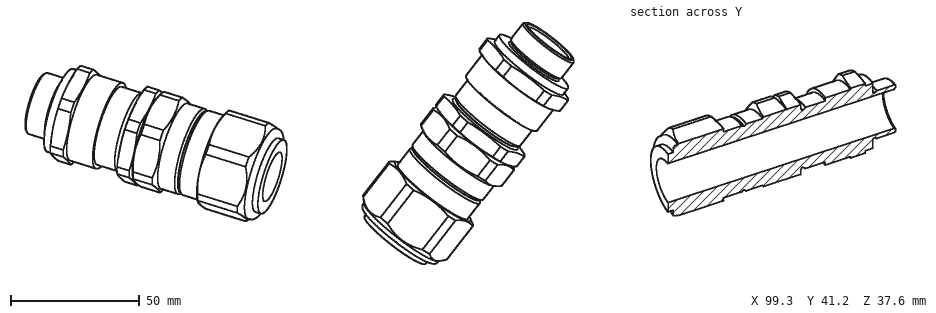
import cadquery as cq
import math


NECK_START = 8.4
FLANGE_START = 10.0
ENTRY_HEX_START = 13.1
ENTRY_HEX_END = 19.9
ENTRY_BODY_END = 30.8
STEM_END = 39.4
LOCK_CONE_START = 40.7
LOCK_HEX_START = 41.4
MIDDLE_HEX_START = 47.6
MIDDLE_HEX_END = 58.1
MIDDLE_BODY_END = 65.2
REAR_CONE_START = 66.2
REAR_BODY_START = 67.2
REAR_HEX_START = 75.0
REAR_HEX_END = 95.0
COLLAR_END = 97.0
LENGTH = 99.3

BORE_RADIUS = 10.0
THREAD_RADIUS = 12.5
FLANGE_RADIUS = 17.0
ENTRY_BODY_RADIUS = 17.6
STEM_RADIUS = 16.0
MIDDLE_BODY_RADIUS = 17.5
REAR_BODY_RADIUS = 17.3
COLLAR_RADIUS = 18.5
TIP_RADIUS = 15.1

MOUTH_CHAMFER = 0.8
THREAD_CHAMFER = 0.7
THREAD_GROOVE_DEPTH = 0.9
THREAD_GROOVE_LIP = 0.2
STEM_GROOVE_DEPTH = 1.2
MIDDLE_GROOVE_DEPTH = 1.1
REAR_CONE_DROP = 0.5
COLLAR_ROUND = 1.2

HEX_SIDES = 6
SMALL_APOTHEM = 18.2
SMALL_CORNER_RADIUS = 19.9
LARGE_APOTHEM = 18.8
LARGE_CORNER_RADIUS = 41.2 / 2
SMALL_FACE_RADIUS = 17.9
LARGE_FACE_RADIUS = 18.6

SHALLOW_ANGLE = 15
MEDIUM_ANGLE = 30
STEEP_ANGLE = 45


def revolve_profile(points):
    """Turn a list of (x, radius) points into a solid around the X axis."""
    outline = [(points[0][0], 0), *points, (points[-1][0], 0)]
    return cq.Workplane("XY").polyline(outline).close().revolve(360, (0, 0, 0), (1, 0, 0))


def hexagon(start, end, apothem, corner_radius, start_cone, end_cone):
    """Hexagon nut with flats facing +Z and -Z; each cone is (end face radius, angle)."""
    start_radius, start_angle = start_cone
    end_radius, end_angle = end_cone
    start_run = (corner_radius - start_radius) * math.tan(math.radians(start_angle))
    end_run = (corner_radius - end_radius) * math.tan(math.radians(end_angle))
    envelope = revolve_profile([
        (start, start_radius),
        (start + start_run, corner_radius),
        (end - end_run, corner_radius),
        (end, end_radius),
    ])
    across_corners = 2 * apothem / math.cos(math.pi / HEX_SIDES)
    prism = (
        cq.Workplane("YZ")
        .workplane(offset=start)
        .polygon(HEX_SIDES, across_corners)
        .extrude(end - start)
    )
    return envelope.intersect(prism)


def turned_body():
    """Thread, flange, stem and plain barrels, with the grooves between them."""
    thread_root = THREAD_RADIUS - THREAD_GROOVE_DEPTH
    stem_root = STEM_RADIUS - STEM_GROOVE_DEPTH
    middle_root = MIDDLE_BODY_RADIUS - MIDDLE_GROOVE_DEPTH
    return revolve_profile([
        (0, THREAD_RADIUS - THREAD_CHAMFER),
        (THREAD_CHAMFER, THREAD_RADIUS),
        (NECK_START, THREAD_RADIUS),
        (NECK_START + THREAD_GROOVE_DEPTH, thread_root),
        (FLANGE_START, THREAD_RADIUS - THREAD_GROOVE_LIP),
        (FLANGE_START, FLANGE_RADIUS),
        (ENTRY_HEX_END, FLANGE_RADIUS),
        (ENTRY_HEX_END, ENTRY_BODY_RADIUS),
        (ENTRY_BODY_END, ENTRY_BODY_RADIUS),
        (ENTRY_BODY_END, STEM_RADIUS),
        (STEM_END, STEM_RADIUS),
        (STEM_END + STEM_GROOVE_DEPTH, stem_root),
        (LOCK_CONE_START, stem_root),
        (LOCK_HEX_START, STEM_RADIUS),
        (MIDDLE_HEX_END, STEM_RADIUS),
        (MIDDLE_HEX_END, MIDDLE_BODY_RADIUS),
        (MIDDLE_BODY_END, MIDDLE_BODY_RADIUS),
        (REAR_CONE_START, middle_root),
        (REAR_CONE_START, REAR_BODY_RADIUS - REAR_CONE_DROP),
        (REAR_BODY_START, REAR_BODY_RADIUS),
        (REAR_HEX_END, REAR_BODY_RADIUS),
        (REAR_HEX_END, TIP_RADIUS),
        (LENGTH, TIP_RADIUS),
    ])


def collar():
    """Ring behind the rear hexagon with a rounded outer edge."""
    length = COLLAR_END - REAR_HEX_END
    ring = cq.Workplane("YZ").workplane(offset=REAR_HEX_END).circle(COLLAR_RADIUS).extrude(length)
    return ring.faces(">X").edges().fillet(COLLAR_ROUND)


def bore():
    """Through bore with a chamfered mouth at the threaded end."""
    return revolve_profile([
        (0, BORE_RADIUS + MOUTH_CHAMFER),
        (MOUTH_CHAMFER, BORE_RADIUS),
        (LENGTH, BORE_RADIUS),
    ])


entry_hex = hexagon(
    ENTRY_HEX_START, ENTRY_HEX_END, SMALL_APOTHEM, SMALL_CORNER_RADIUS,
    (FLANGE_RADIUS, SHALLOW_ANGLE), (ENTRY_BODY_RADIUS, SHALLOW_ANGLE),
)
lock_hex = hexagon(
    LOCK_HEX_START, MIDDLE_HEX_START, SMALL_APOTHEM, SMALL_CORNER_RADIUS,
    (SMALL_FACE_RADIUS, SHALLOW_ANGLE), (SMALL_FACE_RADIUS, SHALLOW_ANGLE),
)
middle_hex = hexagon(
    MIDDLE_HEX_START, MIDDLE_HEX_END, SMALL_APOTHEM, SMALL_CORNER_RADIUS,
    (SMALL_FACE_RADIUS, MEDIUM_ANGLE), (MIDDLE_BODY_RADIUS, MEDIUM_ANGLE),
)
rear_hex = hexagon(
    REAR_HEX_START, REAR_HEX_END, LARGE_APOTHEM, LARGE_CORNER_RADIUS,
    (LARGE_FACE_RADIUS, MEDIUM_ANGLE), (COLLAR_RADIUS, STEEP_ANGLE),
)

result = turned_body()
for piece in (entry_hex, lock_hex, middle_hex, rear_hex, collar()):
    result = result.union(piece)
result = result.cut(bore())